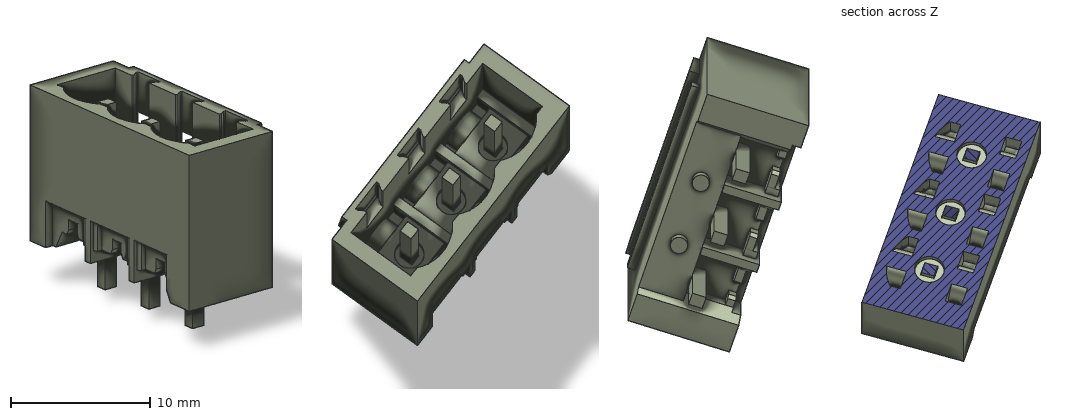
import cadquery as cq


width = 18.2
body_depth = 7.68
height = 12.0
pitch = 5.0
pole_count = 3
pole_positions = [(i - (pole_count - 1) / 2) * pitch for i in range(pole_count)]
rib_positions = [(i - (pole_count - 2) / 2) * pitch for i in range(pole_count - 1)]

cavity_width = 15.76
cavity_front = 1.53
cavity_back = 6.88
divider_top = 5.1
pocket_width = 4.3
pocket_floor = 3.1
lobe_front = 0.75

hump_radius = 1.47
seat_front = 2.28
seat_back = 5.7
seat_top = pocket_floor + hump_radius
recess_radius = 1.05
recess_depth = 0.5
recess_floor = seat_top - recess_depth

slot_floor = 7.83
slot_mouth_width = 1.95
slot_back_width = 2.5
slot_mouth_depth = 0.2
slot_taper_depth = 0.4

lip_width = 14.65
lip_bottom = 8.92
lip_top_overhang = 0.44
lip_bottom_overhang = 0.75
ridge_bottom = 5.97
ridge_top = 6.72
ridge_overhang = 0.62

channel_mouth_half_width = 6.95
channel_top_half_width = 6.25
channel_top = 1.35
back_slab_bottom = 0.62
hollow_top = 2.53

opening_left = -7.32
opening_right = 6.48
opening_top = 3.59
plate_front = 0.65
plate_back = 1.24
notch_width = 0.98
notch_flare_width = 0.22
notch_flare_height = 0.38

rib_width = 0.62
rib_bottom = 0.31
pilaster_width = 1.6
pilaster_front = 0.27
pilaster_bulge = 0.13
standoff_radius = 0.62

pin_width = 0.9
pin_front = 3.25
pin_back = 4.3
pin_tip_front = 3.31
pin_top = 11.0
pin_bottom = -3.2


def block(x_range, y_range, z_range):
    """Box spanning the given (low, high) ranges."""
    size = [high - low for low, high in (x_range, y_range, z_range)]
    corner = cq.Vector(x_range[0], y_range[0], z_range[0])
    return cq.Workplane(cq.Solid.makeBox(*size, corner))


def centred_block(x, block_width, y_range, z_range):
    return block((x - block_width / 2, x + block_width / 2), y_range, z_range)


def extrude_along_y(points, y_range):
    """Prism from an X-Z outline."""
    front, back = y_range
    plane = cq.Workplane("XZ", origin=(0, front, 0))
    return plane.polyline(points).close().extrude(front - back)


def pole_pocket(x):
    """Deep pocket whose front side is bowed into the front wall."""
    half = pocket_width / 2
    return (
        cq.Workplane("XY", origin=(x, 0, pocket_floor))
        .moveTo(-half, cavity_back)
        .lineTo(-half, cavity_front)
        .threePointArc((0, lobe_front), (half, cavity_front))
        .lineTo(half, cavity_back)
        .close()
        .extrude(height - pocket_floor)
    )


def pin_seat(x):
    """Hump along Y and the block crossing it, with a round recess in its top."""
    hump = (
        cq.Workplane("XZ", origin=(x, 0, pocket_floor))
        .moveTo(-hump_radius, 0)
        .threePointArc((0, hump_radius), (hump_radius, 0))
        .close()
        .extrude(-body_depth)
    )
    seat = centred_block(x, pocket_width, (seat_front, seat_back), (pocket_floor, seat_top))
    recess = (
        cq.Workplane("XY", origin=(x, (pin_tip_front + pin_back) / 2, recess_floor))
        .circle(recess_radius)
        .extrude(recess_depth)
    )
    return hump.union(seat).cut(recess)


def keying_slot(x):
    """Undercut slot through the back wall, open at the top."""
    mouth = slot_mouth_width / 2
    back = slot_back_width / 2
    taper_start = cavity_back + slot_mouth_depth
    taper_end = taper_start + slot_taper_depth
    outline = [
        (-mouth, cavity_back), (-mouth, taper_start), (-back, taper_end), (-back, body_depth),
        (back, body_depth), (back, taper_end), (mouth, taper_start), (mouth, cavity_back),
    ]
    plane = cq.Workplane("XY", origin=(x, 0, slot_floor))
    return plane.polyline(outline).close().extrude(height - slot_floor)


def latch_lip():
    """Lip on the back face that thickens downwards."""
    outline = [
        (body_depth, lip_bottom),
        (body_depth + lip_bottom_overhang, lip_bottom),
        (body_depth + lip_top_overhang, height),
        (body_depth, height),
    ]
    plane = cq.Workplane("YZ", origin=(-lip_width / 2, 0, 0))
    return plane.polyline(outline).close().extrude(lip_width)


def underside_channel(top, y_range):
    """Channel with sloping ends, cut up to the given height."""
    slope = (channel_mouth_half_width - channel_top_half_width) / channel_top
    top_half_width = channel_mouth_half_width - slope * top
    outline = [
        (-channel_mouth_half_width, 0), (-top_half_width, top),
        (top_half_width, top), (channel_mouth_half_width, 0),
    ]
    return extrude_along_y(outline, y_range)


def plate_notch(x):
    """Notch in front of a pin, flared at its lower end."""
    half = notch_width / 2
    flare_half = half + notch_flare_width
    flare_top = channel_top + notch_flare_height
    outline = [
        (x - flare_half, channel_top), (x - half, flare_top), (x - half, hollow_top),
        (x + half, hollow_top), (x + half, flare_top), (x + flare_half, channel_top),
    ]
    return extrude_along_y(outline, (plate_front, plate_back))


def underside_rib(x):
    """Thin rib from the front face to the back slab, on a wider pilaster with a bowed foot."""
    thin_rib = centred_block(x, rib_width, (0, pin_back), (rib_bottom, opening_top))
    half = pilaster_width / 2
    pilaster = (
        cq.Workplane("XZ", origin=(x, pilaster_front, 0))
        .moveTo(-half, opening_top)
        .lineTo(-half, channel_top)
        .threePointArc((0, channel_top - pilaster_bulge), (half, channel_top))
        .lineTo(half, opening_top)
        .close()
        .extrude(pilaster_front - plate_back)
    )
    return thin_rib.union(pilaster)


def standoff(x):
    """Round foot under the back slab."""
    middle = (pin_back + body_depth) / 2
    return cq.Workplane("XY", origin=(x, middle, 0)).circle(standoff_radius).extrude(back_slab_bottom)


def make_pin(x):
    """Straight pin, slightly thinner above the floor of its recess."""
    shank = centred_block(x, pin_width, (pin_front, pin_back), (pin_bottom, recess_floor))
    tip = centred_block(x, pin_width, (pin_tip_front, pin_back), (recess_floor, pin_top))
    return shank.union(tip)


def make_housing():
    housing = centred_block(0, width, (0, body_depth), (0, height))

    housing = housing.cut(
        centred_block(0, cavity_width, (cavity_front, cavity_back), (divider_top, height))
    )
    for x in pole_positions:
        pocket = pole_pocket(x)
        housing = housing.cut(pocket).union(pin_seat(x).intersect(pocket))
        housing = housing.cut(keying_slot(x))

    housing = housing.union(latch_lip())
    housing = housing.union(
        centred_block(
            0, lip_width, (body_depth, body_depth + ridge_overhang), (ridge_bottom, ridge_top)
        )
    )

    housing = housing.cut(underside_channel(channel_top, (0, pin_back)))
    housing = housing.cut(underside_channel(back_slab_bottom, (pin_back, body_depth)))
    housing = housing.cut(
        centred_block(
            0, 2 * channel_top_half_width, (plate_back, pin_back), (channel_top, hollow_top)
        )
    )
    housing = housing.cut(
        block((opening_left, opening_right), (0, plate_front), (0, opening_top))
    )
    for x in pole_positions:
        housing = housing.cut(plate_notch(x))
    for x in rib_positions:
        housing = housing.union(underside_rib(x)).union(standoff(x))

    for x in pole_positions:
        housing = housing.cut(make_pin(x))
    return housing


housing = make_housing()
pins = [make_pin(x) for x in pole_positions]

result = cq.Compound.makeCompound([body.solids().val() for body in [housing, *pins]])